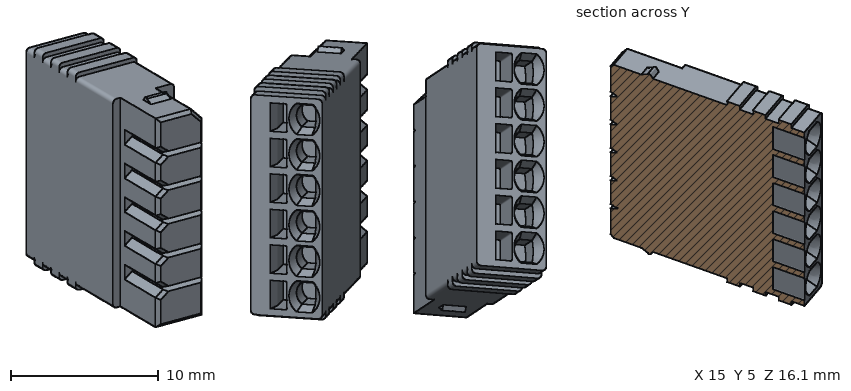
import cadquery as cq
poles = 6
pitch = 2.5
total_length = 15.0

housing_length = 10.5
housing_width = 5.0
housing_height = 15.45
edge_radius = 0.3

rib_count = 3
rib_start = 1.0
rib_length = 1.0
rib_spacing = 2.0
rib_height = 0.32

nose_width = 3.8
nose_half_width = nose_width / 2
nose_half_height = housing_height / 2
groove_start = 11.01
groove_depth = 0.61
groove_floor = 0.18
groove_slope = 0.459
key_bevel = 0.92
tip_chamfer = 0.25
tip_taper = 45
notch_length = 0.5
notch_half_width = 0.2

nub_start = 11.7
nub_width = 1.65
nub_height = 0.32
nub_shoulder_height = 0.24
nub_front_run = 0.18
nub_crest_run = 0.29
nub_back_run = 0.42
nub_length = 0.9
nub_embed = 0.16

slot_inner_y = -0.03
slot_outer_y = 1.13
slot_throat_y = 0.85
slot_height = 2.0
slot_ramp_depth = 0.89
slot_depth = 2.42
slot_corner_radius = 0.11

funnel_depth = 0.87
bore_depth = 2.42
hole_flat_y = -1.79
funnel_flat_end_y = -0.72
funnel_half_height = 1.1
funnel_min_y = -2.33
funnel_max_y = -0.18
bore_flat_end_y = -0.87
bore_half_height = 0.77
bore_min_y = -1.85
bore_max_y = -0.48

pole_heights = [(i - (poles - 1) / 2) * pitch for i in range(poles)]
gap_heights = [(i - (poles - 2) / 2) * pitch for i in range(poles - 1)]


def rounded_block(x_start, length, height):
    """Full-width block with its four long edges rounded."""
    block = cq.Workplane("YZ", origin=(x_start, 0, 0)).rect(housing_width, height).extrude(length)
    return block.edges("|X").fillet(edge_radius)


def nose_outline(grooved):
    """Nose section in YZ with the keying bevel and, if wanted, the pole grooves on the -Y side."""
    points = [
        (-nose_half_width, nose_half_height),
        (nose_half_width - key_bevel, nose_half_height),
        (nose_half_width, nose_half_height - key_bevel),
        (nose_half_width, -nose_half_height),
        (-nose_half_width, -nose_half_height),
    ]
    if grooved:
        floor_half = groove_floor / 2
        mouth_half = floor_half + groove_slope
        floor_y = -nose_half_width + groove_depth
        for z in gap_heights:
            points += [
                (-nose_half_width, z - mouth_half),
                (floor_y, z - floor_half),
                (floor_y, z + floor_half),
                (-nose_half_width, z + mouth_half),
            ]
    return points


def nose_section(x_start, grooved):
    plane = cq.Workplane("YZ", origin=(x_start, 0, 0))
    return plane.polyline(nose_outline(grooved)).close()


def make_nose():
    """Plain root, grooved shank and tapered tip, notched between the poles."""
    tip_start = total_length - tip_chamfer
    nose = nose_section(housing_length, False).extrude(groove_start - housing_length)
    nose = nose.union(nose_section(groove_start, True).extrude(tip_start - groove_start))
    nose = nose.union(nose_section(tip_start, True).extrude(tip_chamfer, taper=tip_taper))
    for z in gap_heights:
        notch = (
            cq.Workplane("XZ")
            .moveTo(total_length - notch_length, z)
            .lineTo(total_length, z - notch_half_width)
            .lineTo(total_length, z + notch_half_width)
            .close()
            .extrude(nose_width, both=True)
        )
        nose = nose.cut(notch)
    return nose


def make_nub():
    """Latch nub on the upper side of the nose: steep front, rounded crest, gentle back."""
    base = nose_half_height
    return (
        cq.Workplane("XZ")
        .moveTo(nub_start, base - nub_embed)
        .lineTo(nub_start, base)
        .lineTo(nub_start + nub_front_run, base + nub_shoulder_height)
        .threePointArc(
            (nub_start + nub_crest_run, base + nub_height),
            (nub_start + nub_back_run, base + nub_shoulder_height),
        )
        .lineTo(nub_start + nub_length, base)
        .lineTo(nub_start + nub_length, base - nub_embed)
        .close()
        .extrude(nub_width / 2, both=True)
    )


def make_slot(z):
    """Release slot whose +Y wall leans inwards to a straight throat."""
    slot = (
        cq.Workplane("XY", origin=(0, 0, z))
        .moveTo(0, slot_inner_y)
        .lineTo(0, slot_outer_y)
        .lineTo(slot_ramp_depth, slot_throat_y)
        .lineTo(slot_depth, slot_throat_y)
        .lineTo(slot_depth, slot_inner_y)
        .close()
        .extrude(slot_height / 2, both=True)
    )
    return slot.faces("<Y").edges("|X").fillet(slot_corner_radius)


def hole_section(plane, flat_end_y, half_height, max_y, min_y):
    """Hole outline with flat top and bottom and arcs reaching max_y and min_y."""
    return (
        plane.moveTo(hole_flat_y, half_height)
        .lineTo(flat_end_y, half_height)
        .threePointArc((max_y, 0), (flat_end_y, -half_height))
        .lineTo(hole_flat_y, -half_height)
        .threePointArc((min_y, 0), (hole_flat_y, half_height))
        .close()
    )


def bore_section(plane):
    """Nearly D-shaped bore outline, only slightly bowed on the -Y side."""
    return hole_section(plane, bore_flat_end_y, bore_half_height, bore_max_y, bore_min_y)


def make_wire_hole(z):
    mouth = hole_section(
        cq.Workplane("YZ", origin=(0, 0, z)),
        funnel_flat_end_y, funnel_half_height, funnel_max_y, funnel_min_y,
    )
    funnel = bore_section(mouth.workplane(offset=funnel_depth)).loft(ruled=True)
    bore = bore_section(cq.Workplane("YZ", origin=(funnel_depth, 0, z)))
    return funnel.union(bore.extrude(bore_depth - funnel_depth))


result = rounded_block(0, housing_length, housing_height)
for i in range(rib_count):
    rib_x = rib_start + i * rib_spacing
    result = result.union(rounded_block(rib_x, rib_length, housing_height + 2 * rib_height))

result = result.union(make_nose())
nub = make_nub()
result = result.union(nub).union(nub.mirror("XY"))

for pole_z in pole_heights:
    result = result.cut(make_slot(pole_z)).cut(make_wire_hole(pole_z))